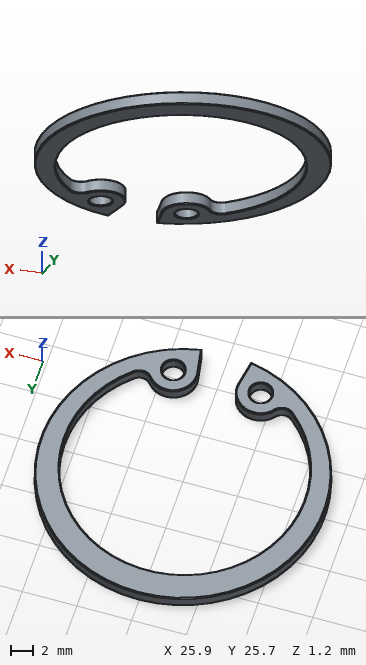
import cadquery as cq
import math

outer_radius = 12.95
thickness = 1.2
bore_radius = 10.93
bore_center = (0, -0.52)
lug_center = (4.0, -9.97)
hole_diameter = 2.0
gap_half_angle = math.radians(10)
neck_radius = 1.0
edge_chamfer = 0.1


def mirrored(point):
    return -point[0], point[1]


def point_from(center, target, distance):
    """Point at the given distance from center, in the direction of target."""
    dx = target[0] - center[0]
    dy = target[1] - center[1]
    ratio = distance / math.hypot(dx, dy)
    return center[0] + ratio * dx, center[1] + ratio * dy


def arc_middle(center, start, end):
    """Middle of the arc from start to end that spans less than half a turn."""
    chord_middle = ((start[0] + end[0]) / 2, (start[1] + end[1]) / 2)
    return point_from(center, chord_middle, math.dist(center, start))


def left_crossing(center_a, radius_a, center_b, radius_b):
    """Crossing of two circles on the left-hand side when looking from a to b."""
    distance = math.dist(center_a, center_b)
    along = (distance**2 + radius_a**2 - radius_b**2) / (2 * distance)
    across = math.sqrt(radius_a**2 - along**2)
    ux = (center_b[0] - center_a[0]) / distance
    uy = (center_b[1] - center_a[1]) / distance
    return (
        center_a[0] + along * ux - across * uy,
        center_a[1] + along * uy + across * ux,
    )


face_direction = (math.sin(gap_half_angle), -math.cos(gap_half_angle))
face_start_radius = lug_center[0] * face_direction[0] + lug_center[1] * face_direction[1]
face_start = point_from((0, 0), face_direction, face_start_radius)
face_tip = point_from((0, 0), face_direction, outer_radius)
lug_radius = math.dist(lug_center, face_start)

neck_center = left_crossing(
    bore_center, bore_radius - neck_radius, lug_center, lug_radius + neck_radius
)
lug_end = point_from(lug_center, neck_center, lug_radius)
neck_end = point_from(bore_center, neck_center, bore_radius)

lug_top = point_from(lug_center, (0, 0), lug_radius)
neck_middle = arc_middle(neck_center, lug_end, neck_end)
band_top = (0, outer_radius)
bore_top = (0, bore_center[1] + bore_radius)

ring = (
    cq.Workplane("XY")
    .moveTo(*face_tip)
    .threePointArc(band_top, mirrored(face_tip))
    .lineTo(*mirrored(face_start))
    .threePointArc(mirrored(lug_top), mirrored(lug_end))
    .threePointArc(mirrored(neck_middle), mirrored(neck_end))
    .threePointArc(bore_top, neck_end)
    .threePointArc(neck_middle, lug_end)
    .threePointArc(lug_top, face_start)
    .close()
    .extrude(thickness)
)

plier_holes = (
    cq.Workplane("XY")
    .pushPoints([lug_center, mirrored(lug_center)])
    .circle(hole_diameter / 2)
    .extrude(thickness)
)
ring = ring.cut(plier_holes)

result = ring.faces("<Z or >Z").edges().chamfer(edge_chamfer)